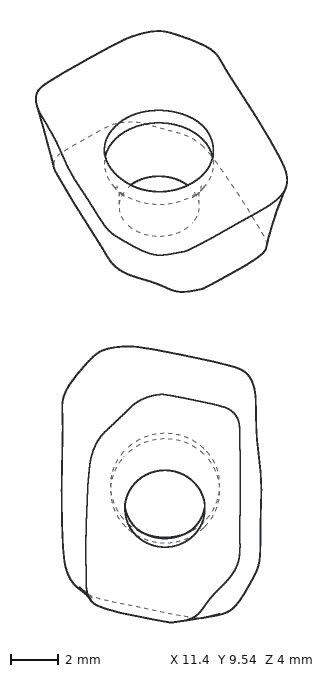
import cadquery as cq

height = 4.0

dish_depth = 0.55
dish_scales = (1.0, 0.77, 0.53, 0.3)

recess_diameter = 4.63
seat_diameter = 4.46
bore_diameter = 3.4
recess_end_depth = 1.27
seat_depth = 1.49
throat_end_depth = 3.12
hole_center_y = -0.15

top_outline = [
    (-5.67, 0.23), (-5.59, -1.75), (-5.38, -2.66), (-4.78, -3.12), (-3.95, -3.34),
    (-2.73, -3.6), (-0.91, -4.14), (1.22, -4.51), (2.27, -4.71), (3.04, -4.73),
    (3.65, -4.57), (4.56, -4.25), (5.16, -3.83), (5.53, -3.07),
    (5.67, -1.36), (5.62, 0.53), (5.47, 2.21), (5.16, 2.81), (4.56, 3.26),
    (3.65, 3.57), (2.13, 3.91), (0.31, 4.25), (-1.82, 4.63), (-2.89, 4.79),
    (-3.65, 4.57), (-4.56, 4.09), (-5.16, 3.64), (-5.54, 2.84),
]
bottom_outline = [
    (-4.97, 0), (-4.92, -1.48), (-4.81, -2.07), (-4.49, -2.45), (-3.87, -2.65),
    (-2.68, -2.9), (-0.86, -3.23), (0.6, -3.5), (1.25, -3.63), (1.82, -3.64),
    (2.5, -3.41), (3.64, -2.73), (4.51, -2.22), (4.87, -1.48),
    (4.91, -0.45), (4.9, 0.45), (4.81, 1.59), (4.6, 2.16), (4.15, 2.45),
    (3.52, 2.59), (2.27, 2.84), (0.57, 3.12), (-0.91, 3.32), (-1.82, 3.34),
    (-2.5, 3.18), (-3.64, 2.45), (-4.49, 1.82), (-4.89, 1.14),
]


def outline_wire(points, z, scale=1.0):
    """Closed curve of two splines that meet smoothly at the -X and +X sides."""
    scaled_points = [(x * scale, y * scale) for x, y in points]
    vectors = [cq.Vector(x, y, z) for x, y in scaled_points]
    half = len(vectors) // 2
    front_half = vectors[: half + 1]
    back_half = vectors[half:] + vectors[:1]
    left_direction = cq.Vector(0, -1, 0)
    right_direction = cq.Vector(0, 1, 0)
    front = cq.Edge.makeSpline(front_half, tangents=[left_direction, right_direction])
    back = cq.Edge.makeSpline(back_half, tangents=[right_direction, left_direction])
    return cq.Wire.assembleEdges([front, back])


def make_body():
    """Join the tapered wall, the base and the dish along the top edge."""
    bottom = outline_wire(bottom_outline, 0)
    top = outline_wire(top_outline, height)
    wall_solid = cq.Solid.makeLoft([bottom, top], True)
    dish_solid = make_dish()
    wall_and_base = cq.Workplane(wall_solid).faces("not >Z").vals()
    dish_surface = cq.Workplane(dish_solid).faces("not >Z").vals()
    shell = cq.Shell.makeShell(wall_and_base + dish_surface)
    return cq.Workplane(cq.Solid.makeSolid(shell))


def make_dish():
    sections = []
    for scale in dish_scales:
        depth = dish_depth * (1 - scale**2)
        sections.append(outline_wire(top_outline, height - depth, scale))
    return cq.Solid.makeLoft(sections)


def make_screw_hole():
    recess_radius = recess_diameter / 2
    seat_radius = seat_diameter / 2
    bore_radius = bore_diameter / 2
    seat_z = height - seat_depth
    throat_end_z = height - throat_end_depth
    return (
        cq.Workplane("XZ")
        .moveTo(0, 0)
        .lineTo(bore_radius, 0)
        .lineTo(bore_radius, throat_end_z)
        .tangentArcPoint((seat_radius, seat_z), relative=False)
        .lineTo(recess_radius, height - recess_end_depth)
        .lineTo(recess_radius, height)
        .lineTo(0, height)
        .close()
        .revolve(360, (0, 0, 0), (0, 1, 0))
        .translate((0, hole_center_y, 0))
    )


result = make_body().cut(make_screw_hole())